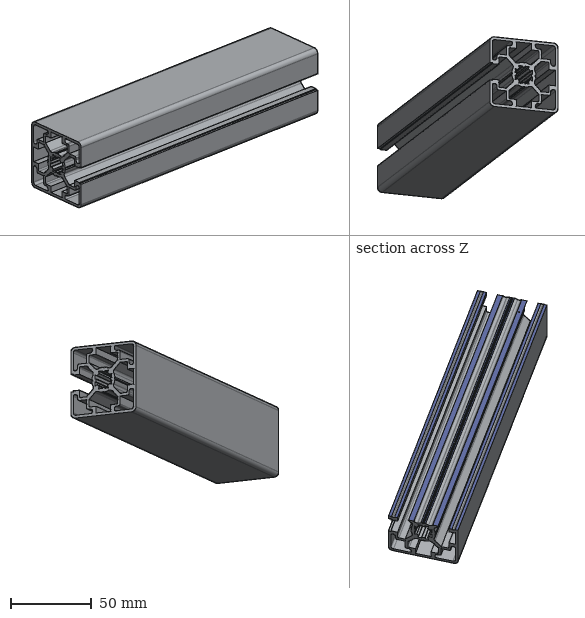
import cadquery as cq
import math

side = 45.0
length = 200.0
corner_radius = 3.0
wall = 1.8
half_side = side / 2
inner_face = half_side - wall

slot_half_opening = 5.0
mouth_half_opening = 5.5
mouth_depth = 1.5
lip_depth = 6.0
slot_half_width = 9.8
slot_corner_radius = 0.8
lip_underside = half_side - lip_depth

lip_sheet = 1.2
chamber_end = 7.5
chamber_outer_radius = 1.5
chamber_lip_radius = 1.0
chamber_wall_radius = 1.0
chamber_throat_radius = 1.8
chamber_inner = slot_half_width + wall
chamber_lip = lip_underside + lip_sheet

web_thickness = 2.5
core_radius = 8.0
core_fillet_radius = 2.0
notch_half_width = 0.8
notch_bottom = 7.5

bore_radius = 5.0
groove_floor = 5.5
groove_root = 4.0
groove_inner_edge = 1.0
groove_outer_edge = 2.8
groove_floor_edge = 3.5


def bar_blank():
    """Square bar along Y with rounded long edges."""
    return cq.Workplane("XY").box(side, length, side).edges("|Y").fillet(corner_radius)


def sketch_plane():
    """Plane on the -Y end, with local X along X and local Y along Z."""
    return cq.Workplane("XZ", origin=(0, -length / 2, 0))


def extrude_along_bar(outline):
    """Extrude a section outline over the full bar length, towards +Y."""
    return outline.extrude(-length)


def round_edges(body, points, radius):
    """Round the long edges of body that pass through the given section points."""
    reach = 0.1
    for x, z in points:
        near = cq.selectors.BoxSelector((x - reach, -length, z - reach), (x + reach, length, z + reach))
        body = body.edges("|Y").edges(near).fillet(radius)
    return body


def slot():
    """T-slot on the +Z side, closed by the outer wall and floored by the core."""
    web_start = slot_half_width + web_thickness / math.sqrt(2)
    along_diagonal = math.sqrt(core_radius**2 - (web_thickness / 2)**2)
    web_end_x = (along_diagonal - web_thickness / 2) / math.sqrt(2)
    web_end_z = (along_diagonal + web_thickness / 2) / math.sqrt(2)
    notch_edge_z = math.sqrt(core_radius**2 - notch_half_width**2)
    arc_middle_x = (web_end_x + notch_half_width) / 2
    arc_middle_z = math.sqrt(core_radius**2 - arc_middle_x**2)
    outline = (
        sketch_plane()
        .moveTo(slot_half_opening, inner_face)
        .lineTo(slot_half_opening, lip_underside)
        .lineTo(slot_half_width, lip_underside)
        .lineTo(slot_half_width, web_start)
        .lineTo(web_end_x, web_end_z)
        .threePointArc((arc_middle_x, arc_middle_z), (notch_half_width, notch_edge_z))
        .lineTo(0, notch_bottom)
        .lineTo(-notch_half_width, notch_edge_z)
        .threePointArc((-arc_middle_x, arc_middle_z), (-web_end_x, web_end_z))
        .lineTo(-slot_half_width, web_start)
        .lineTo(-slot_half_width, lip_underside)
        .lineTo(-slot_half_opening, lip_underside)
        .lineTo(-slot_half_opening, inner_face)
        .close()
    )
    body = extrude_along_bar(outline)
    lip_corners = [(-slot_half_width, lip_underside), (slot_half_width, lip_underside)]
    web_roots = [(-web_end_x, web_end_z), (web_end_x, web_end_z)]
    body = round_edges(body, lip_corners, slot_corner_radius)
    return round_edges(body, web_roots, core_fillet_radius)


def chamber():
    """L-shaped hollow in the +X +Z corner, symmetric about the diagonal."""
    outline = sketch_plane().polyline([
        (inner_face, inner_face),
        (chamber_end, inner_face),
        (chamber_end, chamber_lip),
        (chamber_inner, chamber_lip),
        (chamber_inner, chamber_inner),
        (chamber_lip, chamber_inner),
        (chamber_lip, chamber_end),
        (inner_face, chamber_end),
    ]).close()
    wall_ends = [(chamber_end, inner_face), (inner_face, chamber_end)]
    throat_ends = [(chamber_end, chamber_lip), (chamber_lip, chamber_end)]
    lip_corners = [(chamber_inner, chamber_lip), (chamber_lip, chamber_inner)]
    body = extrude_along_bar(outline)
    body = round_edges(body, [(inner_face, inner_face)], chamber_outer_radius)
    body = round_edges(body, wall_ends, chamber_wall_radius)
    body = round_edges(body, throat_ends, chamber_throat_radius)
    return round_edges(body, lip_corners, chamber_lip_radius)


def slot_opening():
    """Stepped opening through the outer wall into the +X slot."""
    throat = cq.Workplane("XY").box(
        wall, length, 2 * slot_half_opening).translate((half_side - wall / 2, 0, 0))
    mouth = cq.Workplane("XY").box(
        mouth_depth, length, 2 * mouth_half_opening).translate((half_side - mouth_depth / 2, 0, 0))
    return throat.union(mouth)


def core_hole():
    """Round bore with two grooves towards each of the four sides."""
    hole = extrude_along_bar(sketch_plane().circle(bore_radius))
    groove = extrude_along_bar(sketch_plane().polyline([
        (groove_inner_edge, groove_root),
        (groove_inner_edge, groove_floor),
        (groove_floor_edge, groove_floor),
        (groove_outer_edge, groove_root),
    ]).close())
    for quarter in range(4):
        for half in (groove, groove.mirror("YZ")):
            hole = hole.union(half.rotate((0, 0, 0), (0, 1, 0), 90 * quarter))
    return hole


hollows = (slot(), chamber())
result = bar_blank().cut(core_hole()).cut(slot_opening())
for quarter in range(4):
    for hollow in hollows:
        result = result.cut(hollow.rotate((0, 0, 0), (0, 1, 0), 90 * quarter))